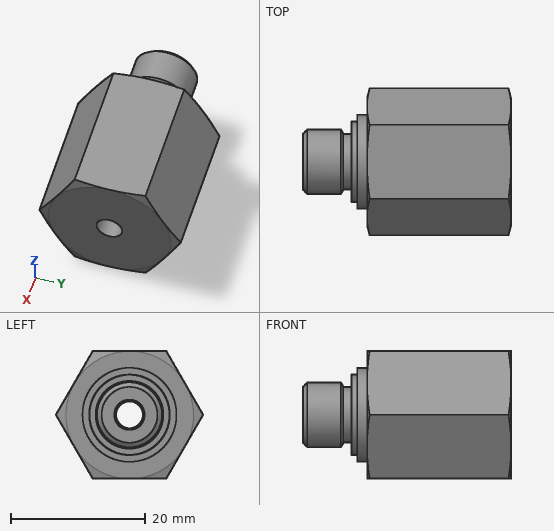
import cadquery as cq
import math

total_length = 31.0
across_flats = 19.0
hex_chamfer_angle = 15.0

thread_end = 5.65
runout_end = 6.05
seal_start = 7.2
flange_start = 8.1
hex_start = 9.55

thread_radius = 4.85
tip_chamfer = 0.68
neck_radius = 4.15
seal_radius = 6.0
seal_edge_chamfer = 0.05
recess_radius = 5.05
flange_radius = 7.0
bore_radius = 1.98
bore_chamfer = 0.28

hex_inradius = across_flats / 2
hex_circumradius = hex_inradius / math.cos(math.pi / 6)


def revolve_profile(points):
    """Revolve a closed (x, radius) outline about the X axis."""
    outline = cq.Workplane("XY").polyline(points).close()
    return outline.revolve(360, (0, 0, 0), (1, 0, 0))


def make_hex_body():
    """Hexagon with corners on Y and both ends chamfered down to the inscribed circle."""
    prism = (
        cq.Workplane("YZ", origin=(hex_start, 0, 0))
        .polygon(6, 2 * hex_circumradius)
        .extrude(total_length - hex_start)
    )
    envelope_radius = hex_circumradius + 0.3
    chamfer_depth = (envelope_radius - hex_inradius) * math.tan(math.radians(hex_chamfer_angle))
    envelope = revolve_profile([
        (hex_start, 0),
        (hex_start, hex_inradius),
        (hex_start + chamfer_depth, envelope_radius),
        (total_length - chamfer_depth, envelope_radius),
        (total_length, hex_inradius),
        (total_length, 0),
    ])
    return prism.intersect(envelope)


def make_spigot():
    """Stepped shank: chamfered thread cylinder, relief neck, seal ring and flange."""
    recess_bottom = seal_start + recess_radius - neck_radius
    return revolve_profile([
        (0, 0),
        (0, thread_radius - tip_chamfer),
        (tip_chamfer, thread_radius),
        (thread_end, thread_radius),
        (runout_end, neck_radius),
        (recess_bottom, neck_radius),
        (seal_start, recess_radius),
        (seal_start, seal_radius - seal_edge_chamfer),
        (seal_start + seal_edge_chamfer, seal_radius),
        (flange_start, seal_radius),
        (flange_start, flange_radius),
        (hex_start, flange_radius),
        (hex_start, 0),
    ])


def make_bore():
    """Through bore with a countersunk mouth at the spigot tip."""
    return revolve_profile([
        (0, 0),
        (0, bore_radius + bore_chamfer),
        (bore_chamfer, bore_radius),
        (total_length, bore_radius),
        (total_length, 0),
    ])


result = make_hex_body().union(make_spigot()).cut(make_bore())